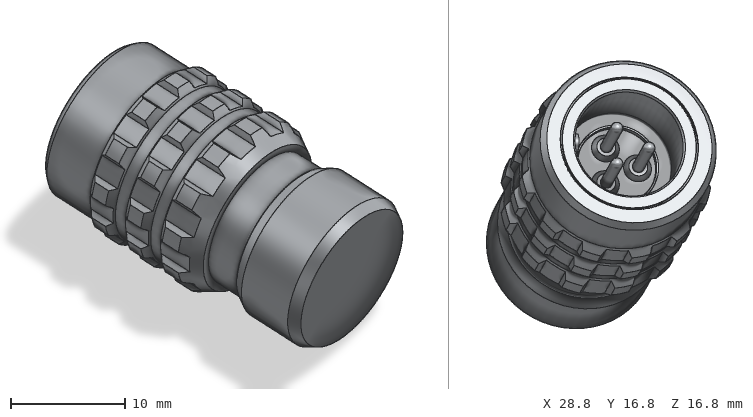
import cadquery as cq
import math

LENGTH = 28.8

SLEEVE_RADIUS = 7.83
SLEEVE_CHAMFER_LENGTH = 0.58
SLEEVE_FACE_RADIUS = 7.35
NECK_START = 18.03
NECK_END = 21.2
NECK_RADIUS = 6.65
NECK_FILLET = 0.23
CAP_START = NECK_END + NECK_FILLET
CAP_START_RADIUS = NECK_RADIUS + NECK_FILLET
CAP_RADIUS = 7.5
CAP_CYLINDER_START = 22.5
CAP_CYLINDER_END = 27.75
CAP_END_RADIUS = 6.9

GRIP_RADIUS = 8.5
GRIP_STARTS = (5.5, 9.53, 13.55)
GRIP_SLOPE_RUN = GRIP_RADIUS - SLEEVE_RADIUS
GRIP_CREST_LENGTH = 1.55
LAST_CREST_LENGTH = 1.85
GRIP_TAIL_RADIUS = 7.37

TOOTH_COUNT = 12
NOTCH_FLOOR_RADIUS = 7.98
NOTCH_FLOOR_HALF_ANGLE = 7.0
NOTCH_TOP_HALF_ANGLE = 9.4
NOTCH_CUT_RADIUS = 9.22

FACE_GROOVE_INNER_RADIUS = 5.95
FACE_GROOVE_OUTER_RADIUS = 6.13
FACE_GROOVE_DEPTH = 0.23
SOCKET_RADIUS = 4.8
SOCKET_CHAMFER = 0.17
SOCKET_DEPTH = 6.28
UNDERCUT_START = 5.7
UNDERCUT_DEPTH = 0.17
UNDERCUT_FILLET = 0.17
FLOOR_RIM_INNER_RADIUS = 3.5
FLOOR_RIM_OUTER_RADIUS = 3.7
FLOOR_RIM_HEIGHT = 0.52
SUNK_LENGTH = 0.3

KEY_START = 0.3
KEY_END = 3.57
KEY_WIDTH = 1.95
KEY_FACE_Y = 4.44
KEY_ROOT_Y = 5.0

PIN_COUNT = 3
PIN_CIRCLE_RADIUS = 1.9
PIN_RADIUS = 0.52
PIN_TIP_X = 0.43
PIN_TIP_FILLET = 0.4
PIN_BASE_RADIUS = 1.25
PIN_BASE_TOP_RADIUS = 0.84
PIN_BASE_HEIGHT = PIN_BASE_RADIUS - PIN_BASE_TOP_RADIUS


def revolve_about_x(points):
    """Solid of revolution about X from a closed outline of (x, radius) points."""
    return cq.Workplane("XY").polyline(points).close().revolve(360, (0, 0, 0), (1, 0, 0))


def ring(start, end, inner_radius, outer_radius):
    """Plain ring on the X axis."""
    return (
        cq.Workplane("YZ", origin=(start, 0, 0))
        .circle(outer_radius)
        .circle(inner_radius)
        .extrude(end - start)
    )


def grip_crest(start, crest_length):
    """Start and end of the flat crest of the grip ring that begins at start."""
    crest_start = start + GRIP_SLOPE_RUN
    return crest_start, crest_start + crest_length


def outer_body():
    """Sleeve with grip rings, neck and cable end cap, turned about X."""
    front_outline = [(0, 0), (0, SLEEVE_FACE_RADIUS), (SLEEVE_CHAMFER_LENGTH, SLEEVE_RADIUS)]
    for start in GRIP_STARTS[:-1]:
        crest_start, crest_end = grip_crest(start, GRIP_CREST_LENGTH)
        front_outline += [
            (start, SLEEVE_RADIUS),
            (crest_start, GRIP_RADIUS),
            (crest_end, GRIP_RADIUS),
            (crest_end + GRIP_SLOPE_RUN, SLEEVE_RADIUS),
        ]
    last_start = GRIP_STARTS[-1]
    crest_start, crest_end = grip_crest(last_start, LAST_CREST_LENGTH)
    front_outline += [
        (last_start, SLEEVE_RADIUS),
        (crest_start, GRIP_RADIUS),
        (crest_end, GRIP_RADIUS),
        (NECK_START, GRIP_TAIL_RADIUS),
        (NECK_START, NECK_RADIUS),
        (NECK_END, NECK_RADIUS),
    ]
    fillet_middle = (
        NECK_END + NECK_FILLET * math.sin(math.pi / 4),
        CAP_START_RADIUS - NECK_FILLET * math.cos(math.pi / 4),
    )
    return (
        cq.Workplane("XY")
        .polyline(front_outline)
        .threePointArc(fillet_middle, (CAP_START, CAP_START_RADIUS))
        .lineTo(CAP_CYLINDER_START, CAP_RADIUS)
        .lineTo(CAP_CYLINDER_END, CAP_RADIUS)
        .lineTo(LENGTH, CAP_END_RADIUS)
        .lineTo(LENGTH, 0)
        .close()
        .revolve(360, (0, 0, 0), (1, 0, 0))
    )


def grip_notches():
    """Tapered gaps between the teeth, centred on Z and repeated around the axis."""
    floor_half_angle = math.radians(NOTCH_FLOOR_HALF_ANGLE)
    top_half_angle = math.radians(NOTCH_TOP_HALF_ANGLE)
    floor_y = NOTCH_FLOOR_RADIUS * math.sin(floor_half_angle)
    floor_z = NOTCH_FLOOR_RADIUS * math.cos(floor_half_angle)
    crest_y = GRIP_RADIUS * math.sin(top_half_angle)
    crest_z = GRIP_RADIUS * math.cos(top_half_angle)
    cut_z = NOTCH_CUT_RADIUS
    cut_y = floor_y + (crest_y - floor_y) * (cut_z - floor_z) / (crest_z - floor_z)
    notch = (
        cq.Workplane("YZ", origin=(GRIP_STARTS[0], 0, 0))
        .moveTo(-floor_y, floor_z)
        .threePointArc((0, NOTCH_FLOOR_RADIUS), (floor_y, floor_z))
        .lineTo(cut_y, cut_z)
        .lineTo(-cut_y, cut_z)
        .close()
        .extrude(NECK_START - GRIP_STARTS[0])
    )
    notches = cq.Workplane("XY")
    for index in range(TOOTH_COUNT):
        turned = notch.rotate((0, 0, 0), (1, 0, 0), index * 360 / TOOTH_COUNT)
        notches = notches.add(turned)
    return notches.combine()


def socket():
    """Chamfered bore with a wider, rounded undercut at its floor."""
    bore = revolve_about_x([
        (0, 0),
        (0, SOCKET_RADIUS + SOCKET_CHAMFER),
        (SOCKET_CHAMFER, SOCKET_RADIUS),
        (SOCKET_DEPTH, SOCKET_RADIUS),
        (SOCKET_DEPTH, 0),
    ])
    undercut = (
        cq.Workplane("YZ", origin=(UNDERCUT_START, 0, 0))
        .circle(SOCKET_RADIUS + UNDERCUT_DEPTH)
        .extrude(SOCKET_DEPTH - UNDERCUT_START)
        .faces(">X")
        .edges()
        .fillet(UNDERCUT_FILLET)
    )
    return bore.union(undercut)


def polarising_key():
    """Rib with a flat face, rounded at its open end and square at its inner end."""
    half_width = KEY_WIDTH / 2
    return (
        cq.Workplane("XZ", origin=(0, KEY_ROOT_Y, 0))
        .moveTo(KEY_END, half_width)
        .lineTo(KEY_START + half_width, half_width)
        .threePointArc((KEY_START, 0), (KEY_START + half_width, -half_width))
        .lineTo(KEY_END, -half_width)
        .close()
        .extrude(KEY_ROOT_Y - KEY_FACE_Y)
    )


def contact_pin():
    """Round-tipped pin standing on a conical base, along the X axis."""
    root_x = SOCKET_DEPTH + SUNK_LENGTH
    pin = cq.Workplane("YZ", origin=(PIN_TIP_X, 0, 0)).circle(PIN_RADIUS).extrude(root_x - PIN_TIP_X)
    pin = pin.faces("<X").edges().fillet(PIN_TIP_FILLET)
    base = revolve_about_x([
        (SOCKET_DEPTH - PIN_BASE_HEIGHT, 0),
        (SOCKET_DEPTH - PIN_BASE_HEIGHT, PIN_BASE_TOP_RADIUS),
        (SOCKET_DEPTH, PIN_BASE_RADIUS),
        (root_x, PIN_BASE_RADIUS),
        (root_x, 0),
    ])
    return pin.union(base)


face_groove = ring(0, FACE_GROOVE_DEPTH, FACE_GROOVE_INNER_RADIUS, FACE_GROOVE_OUTER_RADIUS)
floor_rim = ring(
    SOCKET_DEPTH - FLOOR_RIM_HEIGHT,
    SOCKET_DEPTH + SUNK_LENGTH,
    FLOOR_RIM_INNER_RADIUS,
    FLOOR_RIM_OUTER_RADIUS,
)

result = outer_body().cut(grip_notches()).cut(socket()).cut(face_groove)
result = result.union(polarising_key()).union(floor_rim)

pin_on_circle = contact_pin().translate((0, -PIN_CIRCLE_RADIUS, 0))
for index in range(PIN_COUNT):
    result = result.union(pin_on_circle.rotate((0, 0, 0), (1, 0, 0), index * 360 / PIN_COUNT))